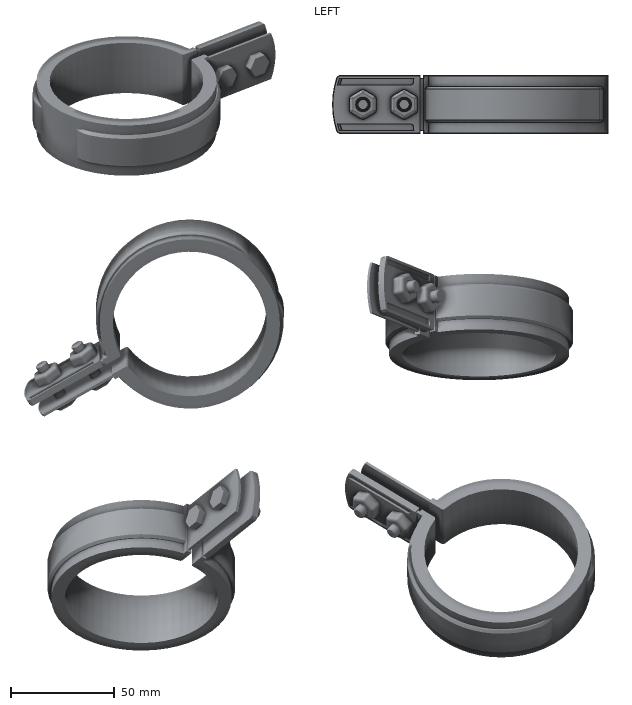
import cadquery as cq
import math


WIDTH = 28.0
BORE_RADIUS = 37.3
LINER_RADIUS = 43.7
HALF_GAP = 3.0
LIP_THICKNESS = 3.0
LIP_TOP = 45.8
LIP_FILLET = 1.3

PAD_RADIUS = 45.5
PAD_WIDTH = 17.5
PAD_CHAMFER = 1.2
PAD_FLAT_DROP = 41.5
PAD_FLAT_START = 15.1
PAD_ROOT_RADIUS = 40.1
PAD_ROOT_END = 10.7

STRAP_THICKNESS = 1.3
STRAP_WIDTH = 25.4
STRAP_INNER_RADIUS = 39.8
TAB_INNER = 3.7
TAB_END = 87.9
TAB_END_RADIUS = 32.0
TAB_OUTER = TAB_INNER + STRAP_THICKNESS

PLATE_THICKNESS = 3.3
PLATE_OUTER = HALF_GAP + PLATE_THICKNESS
PLATE_BOTTOM = 47.4
PLATE_END = 89.9
PLATE_END_RADIUS = 41.4
PLATE_CORNER = 1.0
GROOVE_INNER_Z = 9.5
GROOVE_OUTER_Z = 12.7
GROOVE_BOTTOM = 50.6
GROOVE_END_INSET = 1.3
GROOVE_DEPTH = 1.1
GROOVE_RAMP_HEIGHT = 1.0
GROOVE_RAMP_LENGTH = 1.1
GROOVE_FILLET = 1.6

BOLT_POSITIONS = (55.2, 75.2)
BOLT_DIAMETER = 6.0
BOLT_TIP_DIAMETER = 5.0
BOLT_TIP = 15.2
HEAD_HEIGHT = 4.0
HEAD_FLATS = 10.0
NUT_FLATS = 13.0
NUT_HEIGHT = 5.3
HEXAGON_TURN = 30.0
NUT_FILLET = 1.6
NUT_COUNTERSINK_DIAMETER = 7.0


def on_circle(radius, x):
    """Distance from the X axis of the point at x on a circle about the origin."""
    return math.sqrt(radius**2 - x**2)


def box(x_range, y_range, height):
    """Box between two X and two Y limits, centred on Z = 0."""
    (x0, x1), (y0, y1) = x_range, y_range
    return cq.Workplane("XY").box(x1 - x0, y1 - y0, height).translate(((x0 + x1) / 2, (y0 + y1) / 2, 0))


def ring(inner_radius, thickness, height):
    """Closed ring about Z, centred on Z = 0."""
    outline = cq.Workplane("XY").circle(inner_radius + thickness).circle(inner_radius)
    return outline.extrude(height / 2, both=True)


def crowned_tab(x_inner, thickness, y_bottom, y_end, width, end_radius):
    """Upright plate on the -X side whose far end is a shallow arc across its width."""
    half = width / 2
    y_corner = y_end - end_radius + on_circle(end_radius, half)
    return (
        cq.Workplane("YZ", origin=(-x_inner, 0, 0))
        .moveTo(y_bottom, -half)
        .lineTo(y_corner, -half)
        .threePointArc((y_end, 0), (y_corner, half))
        .lineTo(y_bottom, half)
        .close()
        .extrude(-thickness)
    )


def make_pad():
    """Raised pad on the -X side, ending in a rounded shoulder and a flat facing -Y."""
    shoulder_radius = (PAD_RADIUS**2 - PAD_FLAT_START**2 - PAD_FLAT_DROP**2) / (
        2 * (PAD_RADIUS - PAD_FLAT_DROP)
    )
    center_y = shoulder_radius - PAD_FLAT_DROP
    joint_angle = math.atan2(center_y, -PAD_FLAT_START)
    shoulder_angle = (joint_angle - math.pi / 2) / 2
    joint = (PAD_RADIUS * math.cos(joint_angle), PAD_RADIUS * math.sin(joint_angle))
    shoulder_middle = (
        -PAD_FLAT_START + shoulder_radius * math.cos(shoulder_angle),
        center_y + shoulder_radius * math.sin(shoulder_angle),
    )
    start_x = -HALF_GAP - LIP_THICKNESS / 2
    outline = (
        cq.Workplane("XY")
        .moveTo(start_x, on_circle(PAD_ROOT_RADIUS, start_x))
        .lineTo(start_x, on_circle(PAD_RADIUS, start_x))
        .threePointArc((-PAD_RADIUS, 0), joint)
        .threePointArc(shoulder_middle, (-PAD_FLAT_START, -PAD_FLAT_DROP))
        .lineTo(-PAD_ROOT_END, -PAD_FLAT_DROP)
        .lineTo(-PAD_ROOT_END, -on_circle(PAD_ROOT_RADIUS, PAD_ROOT_END))
        .threePointArc((-PAD_ROOT_RADIUS, 0), (start_x, on_circle(PAD_ROOT_RADIUS, start_x)))
        .close()
    )
    pad = outline.extrude(PAD_WIDTH / 2, both=True)
    return pad.faces("|Z").edges().chamfer(PAD_CHAMFER)


def make_liner(strap):
    liner = ring(BORE_RADIUS, LINER_RADIUS - BORE_RADIUS, WIDTH)
    lip_x = (-HALF_GAP - LIP_THICKNESS, HALF_GAP + LIP_THICKNESS)
    liner = liner.union(box(lip_x, (PAD_ROOT_RADIUS, LIP_TOP), WIDTH))
    pad = make_pad()
    liner = liner.union(pad).union(pad.mirror("YZ"))
    liner = liner.cut(box((-HALF_GAP, HALF_GAP), (0, LIP_TOP), WIDTH))
    gap_corner_y = on_circle(BORE_RADIUS, HALF_GAP)
    for side in (-1, 1):
        corner = cq.selectors.NearestToPointSelector((side * HALF_GAP, gap_corner_y, 0))
        liner = liner.edges("|Z").edges(corner).fillet(LIP_FILLET)
    return liner.cut(strap)


def make_tab():
    bottom = on_circle(STRAP_INNER_RADIUS, TAB_OUTER)
    return crowned_tab(TAB_INNER, STRAP_THICKNESS, bottom, TAB_END, STRAP_WIDTH, TAB_END_RADIUS)


def make_strap():
    strap = ring(STRAP_INNER_RADIUS, STRAP_THICKNESS, STRAP_WIDTH)
    strap = strap.cut(box((-TAB_INNER, TAB_INNER), (0, LIP_TOP), STRAP_WIDTH))
    tab = make_tab()
    return strap.union(tab).union(tab.mirror("YZ"))


def make_groove():
    """Shallow groove along the upper edge of the plate, with a ramp at its far end."""

    def end_y(z):
        return PLATE_END - GROOVE_END_INSET - PLATE_END_RADIUS + on_circle(PLATE_END_RADIUS, z)

    middle_z = (GROOVE_INNER_Z + GROOVE_OUTER_Z) / 2
    groove = (
        cq.Workplane("YZ", origin=(-PLATE_OUTER, 0, 0))
        .moveTo(GROOVE_BOTTOM, GROOVE_INNER_Z)
        .lineTo(end_y(GROOVE_INNER_Z), GROOVE_INNER_Z)
        .threePointArc((end_y(middle_z), middle_z), (end_y(GROOVE_OUTER_Z), GROOVE_OUTER_Z))
        .lineTo(GROOVE_BOTTOM, GROOVE_OUTER_Z)
        .close()
        .extrude(GROOVE_DEPTH)
    )
    groove = groove.edges("|X").edges("<Y").edges("<Z").fillet(GROOVE_FILLET)
    floor_end = groove.faces(">X").edges(">Y")
    return floor_end.chamfer(GROOVE_RAMP_HEIGHT, GROOVE_RAMP_LENGTH)


def make_plate(tab):
    plate = crowned_tab(
        HALF_GAP, PLATE_THICKNESS, PLATE_BOTTOM, PLATE_END, WIDTH, PLATE_END_RADIUS
    )
    plate = plate.edges("|X").edges(">Y").chamfer(PLATE_CORNER)
    groove = make_groove()
    return plate.cut(groove).cut(groove.mirror("XY")).cut(tab)


def hexagon_corners(flats):
    """Size across the corners of a hexagon, from its size across the flats."""
    return flats / math.cos(math.pi / 6)


def make_bolt(y):
    tip_chamfer = (BOLT_DIAMETER - BOLT_TIP_DIAMETER) / 2
    shank = (
        cq.Workplane("YZ", origin=(-BOLT_TIP, y, 0))
        .circle(BOLT_DIAMETER / 2)
        .extrude(BOLT_TIP + TAB_OUTER)
        .faces("<X")
        .chamfer(tip_chamfer)
    )
    head = (
        cq.Workplane("YZ", origin=(TAB_OUTER, y, 0))
        .polygon(6, hexagon_corners(HEAD_FLATS))
        .extrude(HEAD_HEIGHT)
    )
    return shank.union(head)


def make_nut(y):
    nut = (
        cq.Workplane("YZ", origin=(-PLATE_OUTER, y, 0))
        .transformed(rotate=(0, 0, HEXAGON_TURN))
        .polygon(6, hexagon_corners(NUT_FLATS))
        .extrude(-NUT_HEIGHT)
    )
    nut = nut.edges("|X or <X").fillet(NUT_FILLET)
    hole = (
        cq.Workplane("YZ", origin=(-PLATE_OUTER - NUT_HEIGHT, y, 0))
        .circle(BOLT_DIAMETER / 2)
        .extrude(NUT_HEIGHT)
    )
    sink_depth = (NUT_COUNTERSINK_DIAMETER - BOLT_DIAMETER) / 2
    return nut.cut(hole).faces("<X").edges("%CIRCLE").chamfer(sink_depth)


bolts = [make_bolt(y) for y in BOLT_POSITIONS]
nuts = [make_nut(y) for y in BOLT_POSITIONS]

strap = make_strap()
liner = make_liner(strap)
plate = make_plate(make_tab())
for bolt in bolts:
    strap = strap.cut(bolt)
    plate = plate.cut(bolt)

result = cq.Compound.makeCompound(
    [liner.val(), strap.val(), plate.val()]
    + [bolt.val() for bolt in bolts]
    + [nut.val() for nut in nuts]
)